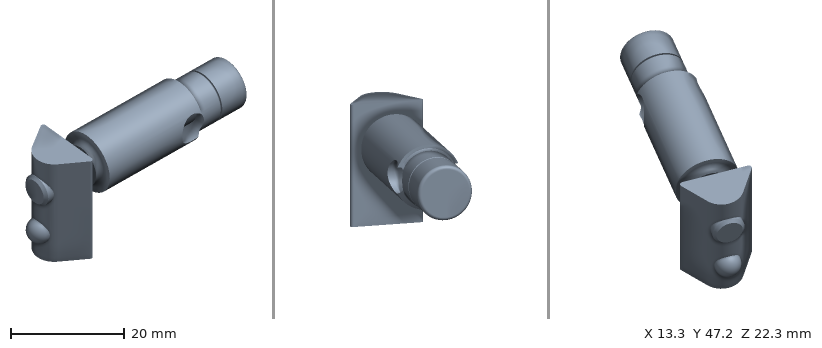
import cadquery as cq
import math


shaft_dia = 6.0
head_dia = 10.0

tip_y = -8.1
tip_chamfer = 0.55
head_front_y = 31.85
head_rear_y = 37.9
head_fillet = 0.6

barrel_dia = 12.0
barrel_front_y = 4.35
barrel_rear_y = 26.5
collar_dia = 8.0
collar_front_y = 2.95
collar_fillet = (head_dia - collar_dia) / 2
neck_start_y = 26.85
neck_chamfer = 0.4
flare_length = (barrel_dia - head_dia) / 2
cross_hole_dia = 6.0
cross_hole_y = 24.5

nut_half_width = 6.65
nut_height = 22.3
nut_top_z = 7.05
nut_bottom_z = nut_top_z - nut_height
nut_nose_y = -7.45
nose_radius = 4.0
corner_radius = 0.5
ball_dia = 4.9
ball_tip_y = -9.35
ball_z = -9.35


def rod(diameter, start_y, end_y):
    """Cylinder on the bolt axis between two Y positions."""
    plane = cq.Workplane("XZ", origin=(0, start_y, 0))
    return plane.circle(diameter / 2).extrude(start_y - end_y)


def make_bolt():
    shaft_r = shaft_dia / 2
    head_r = head_dia / 2
    return (
        cq.Workplane("XY")
        .moveTo(0, tip_y)
        .lineTo(shaft_r - tip_chamfer, tip_y)
        .lineTo(shaft_r, tip_y + tip_chamfer)
        .lineTo(shaft_r, head_front_y)
        .lineTo(head_r, head_front_y)
        .lineTo(head_r, head_rear_y)
        .lineTo(0, head_rear_y)
        .close()
        .revolve(360, (0, 0, 0), (0, 1, 0))
        .faces(">Y")
        .edges()
        .fillet(head_fillet)
    )


def sleeve_core():
    """Turned shape of the sleeve, with a 45 degree flare from neck to barrel."""
    neck_r = head_dia / 2
    collar_r = collar_dia / 2
    barrel_r = barrel_dia / 2
    fillet_middle = (
        collar_r + collar_fillet * (1 - math.sqrt(0.5)),
        barrel_front_y - collar_fillet * (1 - math.sqrt(0.5)),
    )
    return (
        cq.Workplane("XY")
        .moveTo(0, collar_front_y)
        .lineTo(collar_r, collar_front_y)
        .lineTo(collar_r, barrel_front_y - collar_fillet)
        .threePointArc(fillet_middle, (collar_r + collar_fillet, barrel_front_y))
        .lineTo(barrel_r, barrel_front_y)
        .lineTo(barrel_r, neck_start_y - flare_length)
        .lineTo(neck_r, neck_start_y)
        .lineTo(neck_r, head_front_y - neck_chamfer)
        .lineTo(neck_r - neck_chamfer, head_front_y)
        .lineTo(0, head_front_y)
        .close()
        .revolve(360, (0, 0, 0), (0, 1, 0))
    )


def upper_barrel_end():
    """Upper half of the barrel, which runs at full diameter over part of the flare."""
    upper_half = cq.Workplane("XY").box(
        barrel_dia, 2 * barrel_rear_y, barrel_dia / 2, centered=(True, True, False)
    )
    return rod(barrel_dia, barrel_front_y, barrel_rear_y).intersect(upper_half)


def make_sleeve():
    cross_hole = (
        cq.Workplane("YZ")
        .center(cross_hole_y, 0)
        .circle(cross_hole_dia / 2)
        .extrude(barrel_dia, both=True)
    )
    bore = rod(shaft_dia, collar_front_y, head_front_y)
    return sleeve_core().union(upper_barrel_end()).cut(cross_hole).cut(bore)


def nut_prism():
    """Nut profile: flanks are the common tangents of the corner arcs and the nose arc."""
    corner_x = nut_half_width - corner_radius
    corner_y = -corner_radius
    nose_center_y = nut_nose_y + nose_radius
    rise = corner_y - nose_center_y
    center_distance = math.hypot(corner_x, rise)
    flank_angle = math.atan2(rise, corner_x) - math.acos((nose_radius - corner_radius) / center_distance)
    normal_x = math.cos(flank_angle)
    normal_y = math.sin(flank_angle)
    flank_nose_x = nose_radius * normal_x
    flank_nose_y = nose_center_y + nose_radius * normal_y
    flank_corner_x = corner_x + corner_radius * normal_x
    flank_corner_y = corner_y + corner_radius * normal_y
    return (
        cq.Workplane("XY", origin=(0, 0, nut_bottom_z))
        .moveTo(-corner_x, 0)
        .lineTo(corner_x, 0)
        .threePointArc((nut_half_width, corner_y), (flank_corner_x, flank_corner_y))
        .lineTo(flank_nose_x, flank_nose_y)
        .threePointArc((0, nut_nose_y), (-flank_nose_x, flank_nose_y))
        .lineTo(-flank_corner_x, flank_corner_y)
        .threePointArc((-nut_half_width, corner_y), (-corner_x, 0))
        .close()
        .extrude(nut_height)
    )


def ball_stud():
    """Round-ended stud that bulges out of the nut's nose."""
    ball_r = ball_dia / 2
    ball_center_y = ball_tip_y + ball_r
    stud = rod(ball_dia, ball_center_y, ball_center_y + ball_r)
    ball = cq.Workplane("XY").sphere(ball_r).translate((0, ball_center_y, 0))
    return stud.union(ball).translate((0, 0, ball_z))


def make_nut():
    bolt_hole = rod(shaft_dia, nut_nose_y, 0)
    return nut_prism().union(ball_stud()).cut(bolt_hole)


bolt = make_bolt()
sleeve = make_sleeve()
nut = make_nut()

result = cq.Compound.makeCompound([bolt.solids().val(), sleeve.solids().val(), nut.solids().val()])